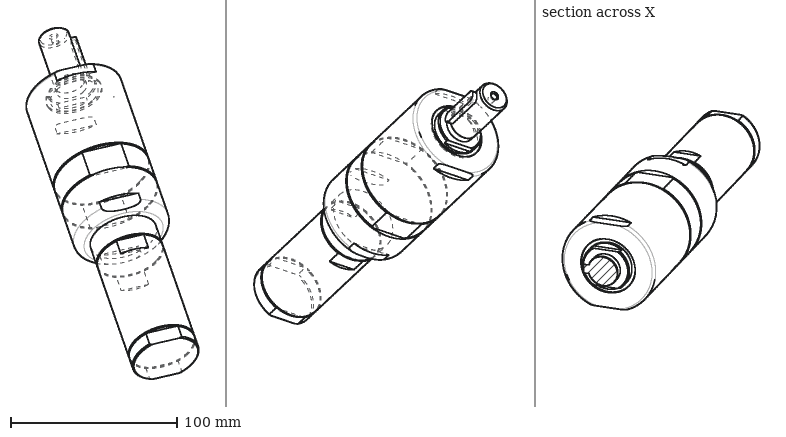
import cadquery as cq
import math

overall_length = 247.5
shaft_neck_start = 36.0
collar_start = 40.0
collar_flat_end = 43.5
body_start = 44.0
front_flat_end = 51.0
middle_flat_start = 106.0
middle_flat_end = 124.0
rear_flat_start = 144.0
body_end = 154.0
neck_flat_start = 168.5
neck_flat_end = 178.7
tail_flat_start = 238.5

shaft_diameter = 19.0
shaft_neck_diameter = 18.8
shaft_chamfer = 1.2
centre_hole_diameter = 4.0
centre_hole_depth = 5.0
drill_point_angle = 118
countersink_diameter = 5.5
countersink_depth = (countersink_diameter - centre_hole_diameter) / 2

key_start = 4.7
key_length = 32.2
key_width = 7.0
key_top = 12.4
key_seat = 6.2

collar_diameter = 30.0
collar_chamfer = 0.7
collar_across_flats = 24.0
recess_diameter = 35.0
recess_depth = 1.2

body_diameter = 60.0
body_across_flats = 54.7
front_fillet = 1.7
rear_fillet = 5.2

rear_diameter = 41.5
neck_across_flats = 37.9
tail_across_flats = 36.5
tail_chamfer = 0.7

groove_width = 0.7
groove_depth = 0.37

clearance = 2.5


def cylinder(start, end, diameter):
    """Solid cylinder on the X axis between two stations."""
    return cq.Workplane("YZ", origin=(start, 0, 0)).circle(diameter / 2).extrude(end - start)


def ring(start, end, outer_diameter, inner_diameter):
    """Tube on the X axis between two stations."""
    return cylinder(start, end, outer_diameter).cut(cylinder(start, end, inner_diameter))


def flats(start, end, diameter, across_flats):
    """Material to remove for two parallel flats facing +Z and -Z."""
    length = end - start
    middle = (start + end) / 2
    kept = cq.Workplane("XY", origin=(middle, 0, 0)).box(length, 2 * diameter, across_flats)
    return cylinder(start, end, diameter + clearance).cut(kept)


def groove(end, diameter):
    """Material to remove for a shallow square groove that finishes at a station."""
    return ring(end - groove_width, end, diameter + clearance, diameter - 2 * groove_depth)


def make_shaft():
    shaft = cylinder(0, shaft_neck_start, shaft_diameter).faces("<X").chamfer(shaft_chamfer)
    return shaft.union(cylinder(shaft_neck_start, body_start, shaft_neck_diameter))


def make_centre_hole():
    hole_radius = centre_hole_diameter / 2
    cone_tip = centre_hole_depth + hole_radius / math.tan(math.radians(drill_point_angle / 2))
    profile = [
        (0, 0),
        (0, countersink_diameter / 2),
        (countersink_depth, hole_radius),
        (centre_hole_depth, hole_radius),
        (cone_tip, 0),
    ]
    return cq.Workplane("XY").polyline(profile).close().revolve(360, (0, 0, 0), (1, 0, 0))


def make_key():
    return (
        cq.Workplane("XZ", origin=(key_start + key_length / 2, key_top, 0))
        .slot2D(key_length, key_width)
        .extrude(key_top - key_seat)
    )


def make_collar():
    collar = cylinder(collar_start, body_start + recess_depth, collar_diameter)
    collar = collar.faces("<X").chamfer(collar_chamfer)
    return collar.cut(flats(collar_start, collar_flat_end, collar_diameter, collar_across_flats))


def make_body():
    body = cylinder(body_start, body_end, body_diameter)
    body = body.faces("<X").edges().fillet(front_fillet)
    body = body.faces(">X").edges().fillet(rear_fillet)
    for start, end in (
        (body_start, front_flat_end),
        (middle_flat_start, middle_flat_end),
        (rear_flat_start, body_end),
    ):
        body = body.cut(flats(start, end, body_diameter, body_across_flats))
    for station in (middle_flat_start, middle_flat_end):
        body = body.cut(groove(station, body_diameter))
    return body.cut(cylinder(body_start, body_start + recess_depth, recess_diameter))


def make_rear():
    rear = cylinder(body_end, overall_length, rear_diameter)
    rear = rear.faces(">X").chamfer(tail_chamfer)
    rear = rear.cut(flats(neck_flat_start, neck_flat_end, rear_diameter, neck_across_flats))
    rear = rear.cut(flats(tail_flat_start, overall_length, rear_diameter, tail_across_flats))
    for station in (neck_flat_start, tail_flat_start):
        rear = rear.cut(groove(station, rear_diameter))
    return rear


result = (
    make_body()
    .union(make_rear())
    .union(make_collar())
    .union(make_shaft())
    .union(make_key())
    .cut(make_centre_hole())
)